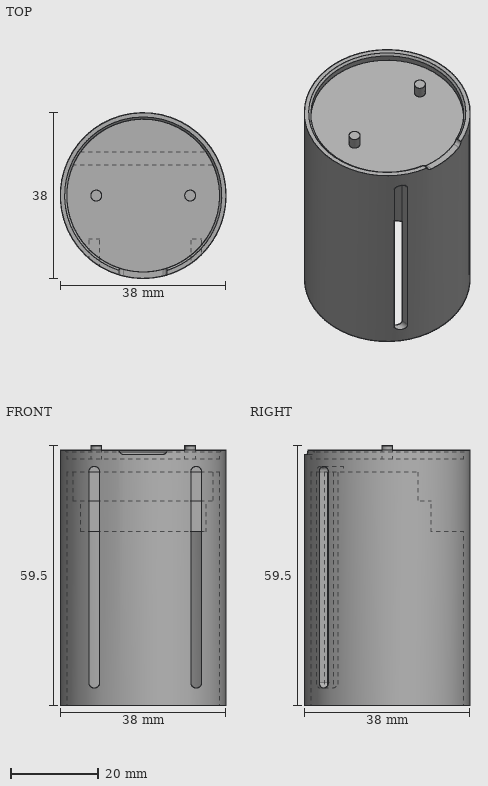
import cadquery as cq

outer_diameter = 38.0
bore_diameter = 35.0
body_height = 58.5

recess_depth = 2.0
disc_thickness = 3.0
disc_top = body_height - recess_depth
disc_bottom = disc_top - disc_thickness

rim_chamfer_size = 0.5

pin_diameter = 2.5
pin_height = 3.0
pin_spacing = 21.5

notch_width = 11.0
notch_depth = 1.0
notch_corner_radius = 1.0

slot_width = 2.5
slot_bottom = 4.0
slot_top = disc_bottom + slot_width / 2
slot_end_y = -10.0
slot_centers_x = (-11.2, 12.15)

upper_step_bottom = 46.8
upper_step_front_y = 7.0
lower_step_bottom = 39.8
lower_step_front_y = 10.0


def cylinder(diameter, bottom, top):
    return cq.Workplane("XY").workplane(offset=bottom).circle(diameter / 2).extrude(top - bottom)


def make_shell():
    """Tube with its disc and the chamfered rim."""
    tube = cylinder(outer_diameter, 0, body_height).cut(cylinder(bore_diameter, 0, body_height))
    bore_radius = bore_diameter / 2
    rim_chamfer = (
        cq.Workplane("XZ")
        .moveTo(0, body_height)
        .lineTo(bore_radius + rim_chamfer_size, body_height)
        .lineTo(bore_radius, body_height - rim_chamfer_size)
        .lineTo(0, body_height - rim_chamfer_size)
        .close()
        .revolve(360, (0, 0, 0), (0, 1, 0))
    )
    disc = cylinder(bore_diameter, disc_bottom, disc_top)
    return tube.cut(rim_chamfer).union(disc)


def make_step(front_y, bottom):
    """Part of the bore behind front_y, filled from bottom up to the disc."""
    behind_front = cq.Workplane("XY").box(
        outer_diameter, outer_diameter, body_height, centered=(True, False, False)
    ).translate((0, front_y, 0))
    return cylinder(bore_diameter, bottom, disc_bottom).intersect(behind_front)


def make_pins():
    return (
        cq.Workplane("XY")
        .workplane(offset=disc_top)
        .pushPoints([(-pin_spacing / 2, 0), (pin_spacing / 2, 0)])
        .circle(pin_diameter / 2)
        .extrude(pin_height)
    )


def make_rim_notch():
    """Cutter with rounded lower corners, reaching from the front into the recess."""
    notch_reach = outer_diameter / 2
    return (
        cq.Workplane("XY")
        .box(notch_width, notch_reach, 2 * notch_depth)
        .edges("|Y and <Z")
        .fillet(notch_corner_radius)
        .translate((0, -notch_reach, body_height))
    )


def make_slots():
    slot_length = slot_top - slot_bottom
    slot_center_z = (slot_top + slot_bottom) / 2
    return (
        cq.Workplane("XZ", origin=(0, slot_end_y, 0))
        .pushPoints([(x, slot_center_z) for x in slot_centers_x])
        .slot2D(slot_length, slot_width, 90)
        .extrude(outer_diameter / 2)
    )


upper_step = make_step(upper_step_front_y, upper_step_bottom)
lower_step = make_step(lower_step_front_y, lower_step_bottom)

result = (
    make_shell()
    .union(upper_step)
    .union(lower_step)
    .union(make_pins())
    .cut(make_rim_notch())
    .cut(make_slots())
)